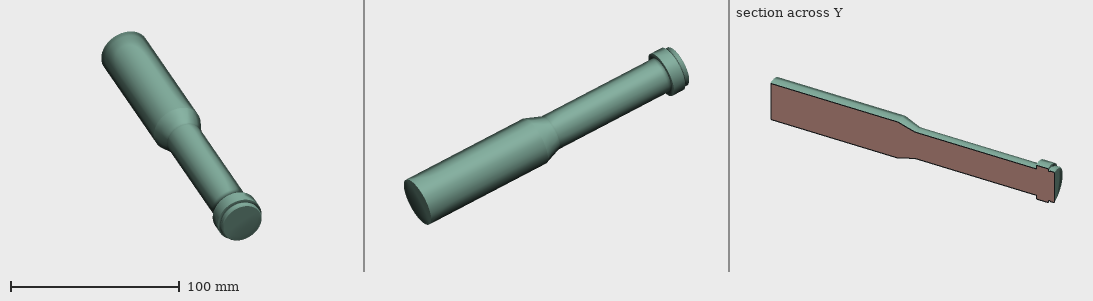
import cadquery as cq

handle_diameter = 30.0
neck_diameter = 22.0
collar_diameter = 28.1
groove_diameter = 24.2
tip_diameter = 25.4

total_length = 183.7
handle_length = 82.3
taper_length = 11.0
neck_length = 78.5
collar_length = 7.9
groove_width = 1.1
tip_chamfer = 0.5

taper_start = handle_length
neck_start = taper_start + taper_length
collar_start = neck_start + neck_length
groove_start = collar_start + collar_length
tip_start = groove_start + groove_width


def cylinder(start, end, diameter):
    """Solid cylinder along X between two positions."""
    plane = cq.Workplane("YZ", origin=(start, 0, 0))
    return plane.circle(diameter / 2).extrude(end - start)


def taper():
    """Cone that joins the handle to the neck."""
    return (
        cq.Workplane("YZ", origin=(taper_start, 0, 0))
        .circle(handle_diameter / 2)
        .workplane(offset=taper_length)
        .circle(neck_diameter / 2)
        .loft(ruled=True)
    )


handle = cylinder(0, taper_start, handle_diameter)
neck = cylinder(neck_start, collar_start, neck_diameter)
collar = cylinder(collar_start, groove_start, collar_diameter)
groove_floor = cylinder(groove_start, tip_start, groove_diameter)
tip = cylinder(tip_start, total_length, tip_diameter).faces(">X").chamfer(tip_chamfer)

shaft = handle.union(taper()).union(neck).union(collar).union(groove_floor).union(tip)

result = shaft.translate((-total_length / 2, 0, 0))